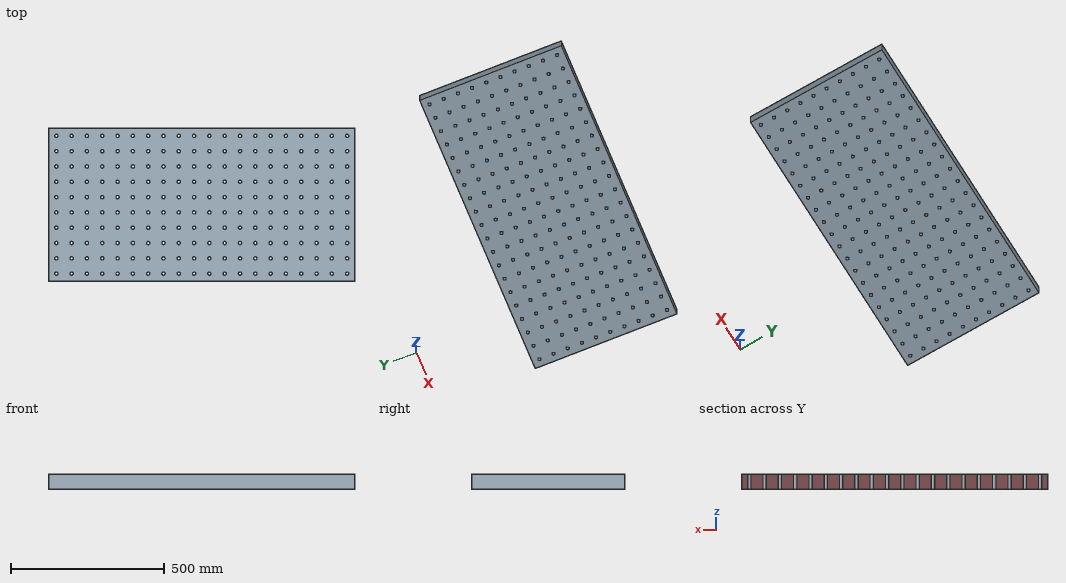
import cadquery as cq

length = 1000.0
width = 500.0
thickness = 50.0

hole_diameter = 10.11
pitch = 50.0
columns = round(length / pitch)
rows = round(width / pitch)


def make_plate():
    """Flat plate centred on the Z axis, resting on the XY plane."""
    return cq.Workplane("XY").box(length, width, thickness, centered=(True, True, False))


def drill_grid(plate):
    """Drill the full grid of holes through the plate from its top face."""
    return (
        plate.faces(">Z")
        .workplane()
        .rarray(pitch, pitch, columns, rows)
        .hole(hole_diameter)
    )


result = drill_grid(make_plate())